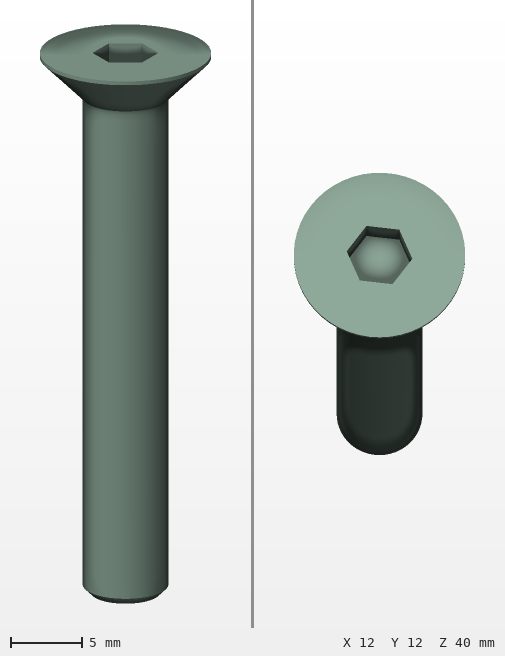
import cadquery as cq
import math

total_length = 40.0
head_diameter = 12.0
shank_diameter = 6.0
rim_height = 0.3
tip_chamfer = 0.55
socket_across_flats = 4.0
socket_depth = 2.5

head_radius = head_diameter / 2
shank_radius = shank_diameter / 2
cone_height = head_radius - shank_radius
head_height = rim_height + cone_height


def make_body():
    """Revolve the half profile of head, shank and chamfered tip."""
    return (
        cq.Workplane("XZ")
        .lineTo(head_radius, 0)
        .lineTo(head_radius, -rim_height)
        .lineTo(shank_radius, -head_height)
        .lineTo(shank_radius, tip_chamfer - total_length)
        .lineTo(shank_radius - tip_chamfer, -total_length)
        .lineTo(0, -total_length)
        .close()
        .revolve(360, (0, 0), (0, 1))
    )


def make_socket():
    """Hexagonal recess with two corners on the Y axis."""
    across_corners = socket_across_flats / math.cos(math.radians(30))
    return (
        cq.Workplane("XY")
        .transformed(rotate=(0, 0, 90))
        .polygon(6, across_corners)
        .extrude(-socket_depth)
    )


result = make_body().cut(make_socket())